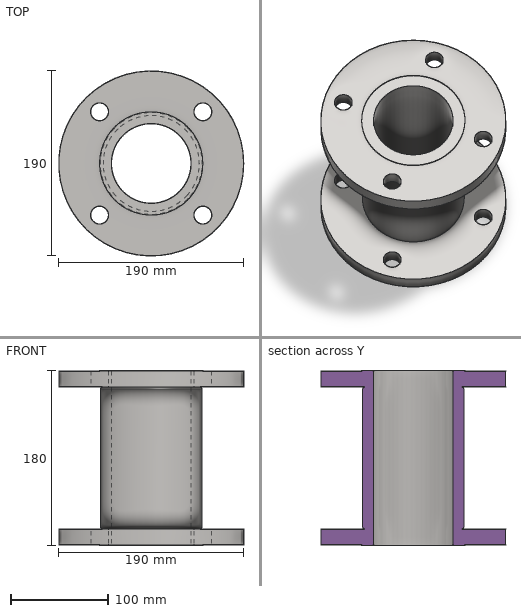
import cadquery as cq

flange_diameter = 190.0
total_height = 180.0

face_height = 0.8
face_diameter = 106.0
flange_thickness = 16.2

pipe_diameter = 104.7
bore_diameter = 81.5
pipe_fillet = 3.0

hole_diameter = 18.0
hole_count = 4
bolt_circle_diameter = 150.0
first_hole_angle = 45.0

half_height = total_height / 2
flange_outer_z = half_height - face_height
flange_inner_z = flange_outer_z - flange_thickness


def disc(diameter, bottom_z, top_z):
    """Upright cylinder on the Z axis between two heights."""
    return cq.Workplane("XY").workplane(offset=bottom_z).circle(diameter / 2).extrude(top_z - bottom_z)


def make_upper_flange():
    """Flange plate topped by its raised sealing face."""
    plate = disc(flange_diameter, flange_inner_z, flange_outer_z)
    return plate.union(disc(face_diameter, flange_outer_z, half_height))


def make_pipe():
    """Pipe body, rounded where it meets the flanges."""
    return disc(pipe_diameter, -flange_inner_z, flange_inner_z).edges().fillet(pipe_fillet)


def make_bolt_holes():
    """Bolt hole cutters running through both flanges."""
    return (
        cq.Workplane("XY")
        .workplane(offset=-half_height)
        .polarArray(bolt_circle_diameter / 2, first_hole_angle, 360, hole_count)
        .circle(hole_diameter / 2)
        .extrude(total_height)
    )


upper_flange = make_upper_flange()
lower_flange = upper_flange.mirror("XY")
bore = disc(bore_diameter, -half_height, half_height)

result = make_pipe().union(upper_flange).union(lower_flange).cut(bore).cut(make_bolt_holes())